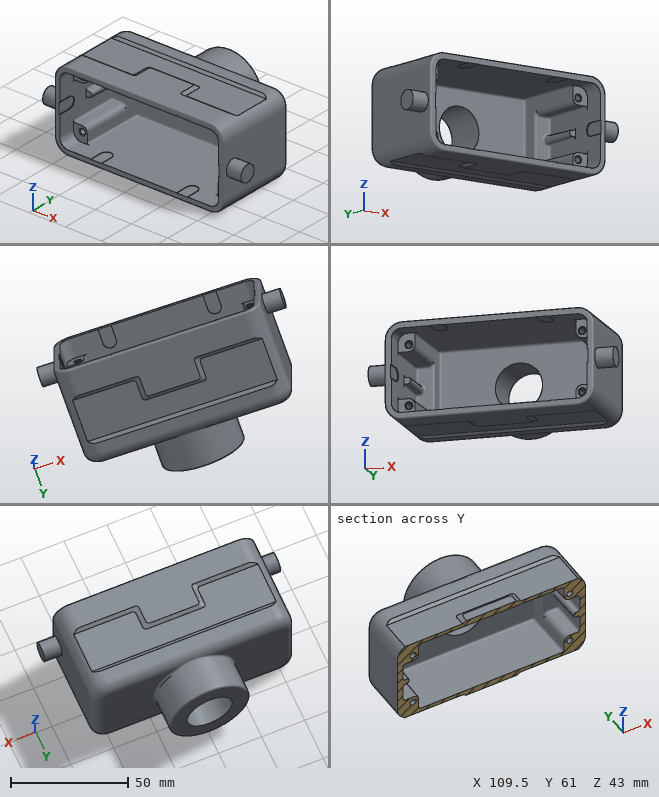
import cadquery as cq


hood_length = 93.4
hood_height = 43.0
hood_depth = 44.9
corner_radius = 7.7
back_edge_radius = 4.9
rim_radius = 0.8

entry_diameter = 37.0
entry_end = 61.0
entry_edge_radius = 0.9
entry_base_radius = 0.9
bore_diameter = 21.0

mouth_length = 87.6
mouth_height = 37.2
mouth_corner_radius = 4.6
floor_depth = 41.9
wall_draft = 0.6
post_draft = 1.2
inner_radius = 1.0

post_face_depth = 9.0
post_gap_length = 72.0
post_gap_height = 20.7
post_corner_radius = 2.8
shelf_depth = 35.0
screw_x = 38.8
screw_z = 13.5
screw_hole_diameter = 2.7
screw_mouth_diameter = 3.5
screw_mouth_angle = 45
screw_hole_depth = 17.5

stub_radius = 1.4
stub_tip_x = 40.6
stub_face_depth = 17.5
stub_draft = 1.5

slot_width = 5.9
slot_end = 9.6
side_slot_x = 23.7
end_slot_span = 88.3
side_slot_span = 37.5

pin_span = 109.5
pin_diameter = 8.8
pin_y = 6.1
pin_root_x = 44.9

panel_depth = 1.0
panel_front = 13.8
panel_back = 33.4
panel_tab_end = 23.8
panel_tab_width = 28.8
panel_slope = 1.6
panel_tab_slope = 2.1
panel_corner_radius = 1.4

margin = 1.1


def facing_back(y):
    """Workplane at the given y that extrudes towards +Y."""
    return cq.Workplane(cq.Plane(origin=(0, y, 0), xDir=(1, 0, 0), normal=(0, 1, 0)))


def at_both_ends(shape):
    """The shape together with its mirror image at the opposite end of the hood."""
    return shape.union(shape.mirror("YZ"))


def edges_between(shape, front, back, half_length):
    """Shape with those edges selected whose centres lie between two depths and near enough to x = 0."""
    limits = cq.selectors.BoxSelector((-half_length, front, -hood_height), (half_length, back, hood_height))
    return shape.edges(limits)


def make_hood():
    shell = facing_back(0).rect(hood_length, hood_height).extrude(hood_depth)
    shell = shell.edges("|Y").fillet(corner_radius)
    shell = shell.faces(">Y").edges().fillet(back_edge_radius)
    shell = shell.faces("<Y").edges().fillet(rim_radius)
    entry_start = hood_depth / 2
    entry = facing_back(entry_start).circle(entry_diameter / 2).extrude(entry_end - entry_start)
    entry = entry.faces(">Y").edges().fillet(entry_edge_radius)
    hood = shell.union(entry)
    joint = edges_between(hood, hood_depth - back_edge_radius, hood_depth + margin, entry_diameter / 2)
    return joint.fillet(entry_base_radius)


def make_stubs():
    """Half-round stubs that stand on the shelves against the end walls and widen slightly with depth."""
    wall_x = hood_length / 2
    arc_x = stub_tip_x + stub_radius
    profile = facing_back(stub_face_depth).moveTo(wall_x, -stub_radius).lineTo(arc_x, -stub_radius)
    profile = profile.threePointArc((stub_tip_x, 0), (arc_x, stub_radius)).lineTo(wall_x, stub_radius).close()
    stub = profile.extrude(shelf_depth + margin - stub_face_depth, taper=-stub_draft)
    return at_both_ends(stub)


def make_cavity():
    """Solid that fills the hollow: a full opening in front, then the space between posts and over shelves."""
    mouth = cq.Sketch().rect(mouth_length, mouth_height).vertices().fillet(mouth_corner_radius)
    envelope = facing_back(0).placeSketch(mouth).extrude(floor_depth, taper=wall_draft)
    front = facing_back(0).rect(mouth_length, mouth_height).extrude(post_face_depth)
    middle = facing_back(post_face_depth).rect(post_gap_length, hood_height)
    middle = middle.extrude(floor_depth - post_face_depth, taper=post_draft)
    shelves = facing_back(post_face_depth).rect(hood_length, post_gap_height)
    shelves = shelves.extrude(shelf_depth - post_face_depth, taper=wall_draft)
    gap = middle.union(shelves)
    post_edges = edges_between(gap, post_face_depth + margin, shelf_depth - margin, post_gap_length / 2)
    gap = post_edges.fillet(post_corner_radius)
    cavity = envelope.intersect(front.union(gap)).cut(make_stubs())
    inner_edges = edges_between(cavity, stub_face_depth + margin, floor_depth + margin, mouth_length / 2)
    return inner_edges.fillet(inner_radius)


def make_panel():
    """Tapered cutter for the top panel; the slopes run out past the rounded ends of the hood."""

    def outline(level, slope, tab_slope):
        end = hood_length / 2
        tab = panel_tab_width / 2 - tab_slope
        front = panel_front - slope
        back = panel_back + slope
        tab_end = panel_tab_end - slope
        points = [(-end, front), (-tab, front), (-tab, tab_end), (tab, tab_end),
                  (tab, front), (end, front), (end, back), (-end, back)]
        face = cq.Sketch().polygon(points)
        tab_limit = end - margin
        tab_corners = cq.selectors.BoxSelector((-tab_limit, 0, -margin), (tab_limit, hood_depth, margin))
        face = face.vertices(tab_corners).fillet(panel_corner_radius)
        return face.moved(cq.Location(cq.Vector(0, 0, level)))

    top = hood_height / 2
    return cq.Workplane("XY").placeSketch(
        outline(top - panel_depth, 0, 0), outline(top, panel_slope, panel_tab_slope)).loft()


def make_guide_slots():
    """Round-ended slots in all four inner walls, each running in from the mouth."""

    def slot(workplane, span):
        straight_end = slot_end - slot_width / 2
        strip = workplane.center(0, straight_end / 2).rect(slot_width, straight_end)
        strip = strip.extrude(span / 2, both=True)
        tip = workplane.center(0, straight_end).circle(slot_width / 2).extrude(span / 2, both=True)
        return strip.union(tip)

    end_wall_plane = cq.Plane(origin=(0, 0, 0), xDir=(0, 0, 1), normal=(-1, 0, 0))
    slots = slot(cq.Workplane(end_wall_plane), end_slot_span)
    for x in (-side_slot_x, side_slot_x):
        slots = slots.union(slot(cq.Workplane("XY", origin=(x, 0, 0)), side_slot_span))
    return slots


def make_screw_holes():
    flare = (screw_mouth_diameter - screw_hole_diameter) / 2
    positions = [(x, z) for x in (-screw_x, screw_x) for z in (-screw_z, screw_z)]
    drill = facing_back(post_face_depth).pushPoints(positions)
    holes = drill.circle(screw_hole_diameter / 2).extrude(screw_hole_depth)
    mouths = drill.circle(screw_mouth_diameter / 2).extrude(flare, taper=screw_mouth_angle)
    return holes.union(mouths)


def make_pins():
    pin = cq.Workplane("YZ", origin=(pin_root_x, pin_y, 0)).circle(pin_diameter / 2)
    pin = pin.extrude(pin_span / 2 - pin_root_x)
    return at_both_ends(pin)


panel = make_panel()
bore = facing_back(0).circle(bore_diameter / 2).extrude(entry_end)
result = make_hood().union(make_pins())
for cutter in (make_cavity(), make_guide_slots(), make_screw_holes(), bore, panel, panel.mirror("XY")):
    result = result.cut(cutter)